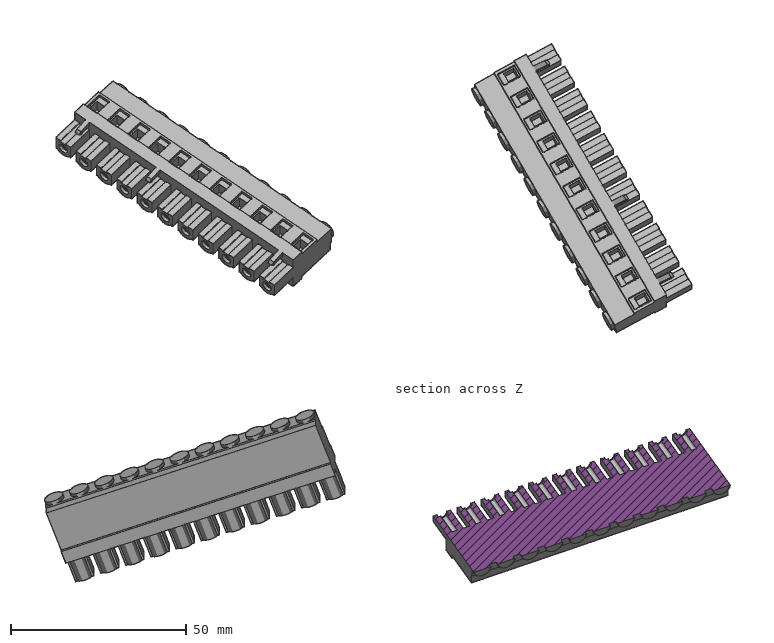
import cadquery as cq
import math


length = 81.7
contact_count = 11
plug_width = 5.55
first_contact_x = plug_width / 2
pitch = (length - plug_width) / (contact_count - 1)
contact_positions = [first_contact_x + i * pitch for i in range(contact_count)]

flange_front_y = 8.3
flange_rear_y = 12.25
deck_rear_y = 18.9
rear_lower_y = 24.75
rear_upper_y = 25.25
flange_top_z = 12.6
deck_top_z = 11.6
slope_front_z = 10.5
slope_rear_z = 10.3
rear_step_z = 4.1
underside_z = 1.0

plug_top_z = 9.1
plug_side_bottom_z = 4.2
plug_belly_radius = 2.95
bore_z = 6.1
groove_depth = 0.5
groove_mouth_width = 1.8
groove_floor_width = 2.7

counterbore_radius = 1.55
counterbore_depth = 1.0
inner_bore_radius = 0.78
inner_bore_depth = flange_front_y

entry_width = 3.75
entry_front_y = 12.75
entry_rear_y = 18.2
entry_depth = 1.0
well_width = 2.8
well_front_y = 13.2
well_rear_y = 16.5
well_depth = 4.9

boss_radius = plug_width / 2
boss_z = 6.8
boss_end_y = 26.2

latch_width = 1.55
latch_centers = [4.8, 31.1, 76.9]
latch_underside_z = 10.9
latch_knee = (4.6, 11.9)
latch_tip = (3.7, 11.2)
latch_barb = (4.6, 10.4)
latch_heel_y = 5.2


def side_extrusion(points, start_x, width):
    """Extrude a closed (Y, Z) outline along +X from start_x."""
    return cq.Workplane("YZ").workplane(offset=start_x).polyline(points).close().extrude(width)


def block(center_x, width, y_range, z_range):
    """Box centred on center_x that fills the given Y and Z ranges."""
    size_y = y_range[1] - y_range[0]
    size_z = z_range[1] - z_range[0]
    return (
        cq.Workplane("XY")
        .box(width, size_y, size_z, centered=(True, False, False))
        .translate((center_x, y_range[0], z_range[0]))
    )


def rod(center_x, center_z, radius, start_y, end_y):
    """Cylinder along Y between two Y positions."""
    start = cq.Vector(center_x, start_y, center_z)
    return cq.Workplane(cq.Solid.makeCylinder(radius, end_y - start_y, start, cq.Vector(0, 1, 0)))


def housing():
    """Body of constant section with a taller flange at its front."""
    outline = [
        (flange_front_y, 0),
        (flange_front_y, flange_top_z),
        (flange_rear_y, flange_top_z),
        (flange_rear_y, deck_top_z),
        (deck_rear_y, deck_top_z),
        (deck_rear_y, slope_front_z),
        (rear_upper_y, slope_rear_z),
        (rear_upper_y, rear_step_z),
        (rear_lower_y, rear_step_z),
        (rear_lower_y, underside_z),
        (flange_rear_y, underside_z),
        (flange_rear_y, 0),
    ]
    return side_extrusion(outline, 0, length)


def plug(x):
    """Plug with a rounded belly and a dovetail groove along its top."""
    half_width = plug_width / 2
    belly_half_width = math.sqrt(plug_belly_radius**2 - (bore_z - plug_side_bottom_z) ** 2)
    groove_floor_z = plug_top_z - groove_depth
    section = (
        cq.Workplane("XZ")
        .moveTo(x - half_width, plug_top_z)
        .lineTo(x - groove_mouth_width / 2, plug_top_z)
        .lineTo(x - groove_floor_width / 2, groove_floor_z)
        .lineTo(x + groove_floor_width / 2, groove_floor_z)
        .lineTo(x + groove_mouth_width / 2, plug_top_z)
        .lineTo(x + half_width, plug_top_z)
        .lineTo(x + half_width, plug_side_bottom_z)
        .lineTo(x + belly_half_width, plug_side_bottom_z)
        .threePointArc((x, bore_z - plug_belly_radius), (x - belly_half_width, plug_side_bottom_z))
        .lineTo(x - half_width, plug_side_bottom_z)
        .close()
    )
    return section.extrude(-flange_front_y)


def contact_bore(x):
    """Shallow counterbore with a narrower, deeper bore behind it."""
    counterbore = rod(x, bore_z, counterbore_radius, 0, counterbore_depth)
    inner_bore = rod(x, bore_z, inner_bore_radius, 0, inner_bore_depth)
    return counterbore.union(inner_bore)


def wire_entry(x):
    """Shallow rectangular recess in the deck with a deeper well at its front."""
    floor_z = deck_top_z - entry_depth
    recess = block(x, entry_width, (entry_front_y, entry_rear_y), (floor_z, deck_top_z))
    well = block(x, well_width, (well_front_y, well_rear_y), (deck_top_z - well_depth, deck_top_z))
    return recess.union(well)


def rear_boss(x):
    """Round boss on the rear face, centred on a contact."""
    return rod(x, boss_z, boss_radius, rear_lower_y, boss_end_y)


def latch(x):
    """Arm on the flange front whose top slopes down to a small hook."""
    outline = [
        (flange_front_y, latch_underside_z),
        (flange_front_y, flange_top_z),
        latch_knee,
        latch_tip,
        latch_barb,
        (latch_heel_y, latch_underside_z),
    ]
    return side_extrusion(outline, x - latch_width / 2, latch_width)


result = housing()
for contact_x in contact_positions:
    result = result.union(plug(contact_x)).union(rear_boss(contact_x))
for contact_x in contact_positions:
    result = result.cut(contact_bore(contact_x)).cut(wire_entry(contact_x))
for latch_x in latch_centers:
    result = result.union(latch(latch_x))